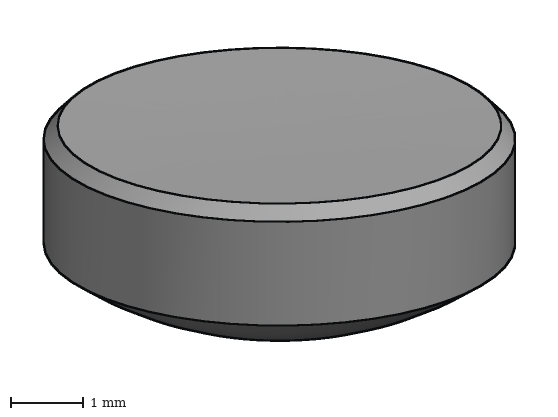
import cadquery as cq
import math

radius = 3.255
height = 2.8
dome_depth = 1.075
bevel = 0.195
dish_depth = 0.04

dish_edge_radius = radius - bevel
dish_bottom = height - dish_depth


def cap_rise(edge_radius, cap_depth, distance):
    """Rise of a spherical cap above its lowest point, at a distance from the axis."""
    sphere_radius = (edge_radius**2 + cap_depth**2) / (2 * cap_depth)
    return sphere_radius - math.sqrt(sphere_radius**2 - distance**2)


dome_middle = (radius / 2, cap_rise(radius, dome_depth, radius / 2))
dish_middle = (
    dish_edge_radius / 2,
    dish_bottom + cap_rise(dish_edge_radius, dish_depth, dish_edge_radius / 2),
)

half_section = (
    cq.Workplane("YZ")
    .moveTo(0, 0)
    .threePointArc(dome_middle, (radius, dome_depth))
    .lineTo(radius, height - bevel)
    .lineTo(dish_edge_radius, height)
    .threePointArc(dish_middle, (0, dish_bottom))
    .close()
)

result = half_section.revolve(360, (0, 0, 0), (0, 1, 0))